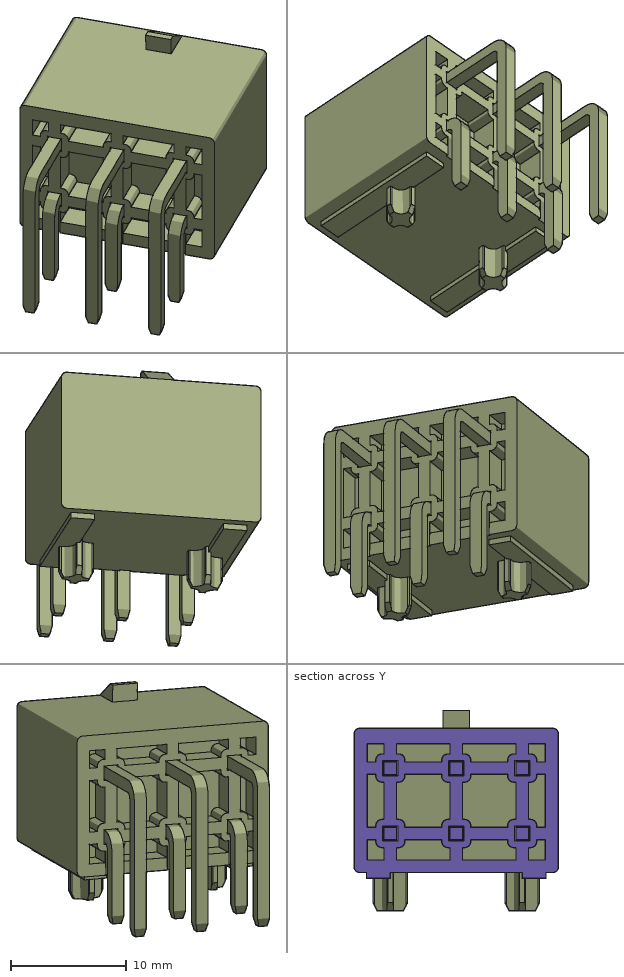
import cadquery as cq
import math


OVERALL_DEPTH = 21.95

HOUSING_WIDTH = 17.75
HOUSING_DEPTH = 14.79
HOUSING_HEIGHT = 12.55
EDGE_RADIUS = 0.5

COLUMN_PITCH = 5.73
ROW_PITCH = 5.68
UPPER_ROW_Z = 9.08
LOWER_ROW_Z = UPPER_ROW_Z - ROW_PITCH
PIN_SIZE = 1.12
PIN_BEND_RADIUS = 1.62
PIN_BOTTOM_Z = -4.04
PIN_TIP_LENGTH = 0.7
PIN_TIP_SIZE = 0.77
UPPER_PIN_REACH = OVERALL_DEPTH - HOUSING_DEPTH
LOWER_PIN_REACH = 1.67
COLUMNS = [-COLUMN_PITCH, 0, COLUMN_PITCH]
ROWS = [LOWER_ROW_Z, UPPER_ROW_Z]

RECESS_WIDTH = 15.45
RECESS_BOTTOM_Z = 1.12
RECESS_TOP_Z = 11.2
RECESS_DEPTH = 2.4
DIVIDER_THICKNESS = 1.1
COLLAR_WIDTH = 2.55
COLLAR_HEIGHT = 2.48
COLLAR_RADIUS = 0.57
PIN_CLEARANCE = 0.09
PIN_HOLE_SIZE = PIN_SIZE + 2 * PIN_CLEARANCE
PIN_ANCHOR = 0.65
RELIEF_WIDTH = 0.99
RELIEF_DEPTH = 0.2

LATCH_WIDTH = 2.3
LATCH_HEIGHT = 1.54
LATCH_BASE = 3.05
LATCH_LENGTH = 3.15
LATCH_FLAT = 0.61

STRIP_OUTER_X = 7.8
STRIP_HEIGHT = 0.5
STRIP_LENGTH = 12.81
STRIP_BACK_GAP = 0.95
PEG_Y = 6.2
PEG_LENGTH = 3.31
PEG_RADIUS = 1.51
RIB_SHOULDER = 1.35
RIB_HALF_WIDTH = 0.275
RIB_TIP_HALF_WIDTH = 0.22
FLUTE_START = 1.15
PEG_CHAMFER_HEIGHT = 0.72

SIDE = "YZ"


def block(x_min, x_max, y_min, y_max, z_min, z_max):
    """Box spanning the given limits."""
    size = (x_max - x_min, y_max - y_min, z_max - z_min)
    return cq.Workplane().box(*size, centered=False).translate((x_min, y_min, z_min))


def bar(x, z, width, height):
    """Bar centred on a pin position, running from the pin face to the recess floor."""
    return block(x - width / 2, x + width / 2, 0, RECESS_DEPTH, z - height / 2, z + height / 2)


def housing_block():
    half = HOUSING_WIDTH / 2
    shell = block(-half, half, 0, HOUSING_DEPTH, 0, HOUSING_HEIGHT)
    return shell.edges("|Y").fillet(EDGE_RADIUS)


def pockets():
    """The recess volume left open between the webs, shelves and collars."""
    half_width = RECESS_WIDTH / 2
    half_divider = DIVIDER_THICKNESS / 2
    space = block(-half_width, half_width, 0, RECESS_DEPTH, RECESS_BOTTOM_Z, RECESS_TOP_Z)
    for x in COLUMNS:
        web = block(x - half_divider, x + half_divider, 0, RECESS_DEPTH, RECESS_BOTTOM_Z, RECESS_TOP_Z)
        space = space.cut(web)
    for z in ROWS:
        shelf = block(-half_width, half_width, 0, RECESS_DEPTH, z - half_divider, z + half_divider)
        space = space.cut(shelf)
        for x in COLUMNS:
            collar = bar(x, z, COLLAR_WIDTH, COLLAR_HEIGHT)
            space = space.cut(collar.edges("|Y").fillet(COLLAR_RADIUS))
    return space


def bend_relief(x):
    """Wedge-shaped groove below a lower pin, deepest at the underside of the housing."""
    top_z = LOWER_ROW_Z - COLLAR_HEIGHT / 2
    profile = [(0, 0), (RELIEF_DEPTH, 0), (0, top_z)]
    wedge = cq.Workplane(SIDE).polyline(profile).close().extrude(RELIEF_WIDTH / 2, both=True)
    return wedge.translate((x, 0, 0))


def latch():
    top = HOUSING_HEIGHT + LATCH_HEIGHT
    tip_y = HOUSING_DEPTH - LATCH_LENGTH
    profile = [
        (HOUSING_DEPTH, HOUSING_HEIGHT),
        (tip_y + LATCH_FLAT, top),
        (tip_y, top),
        (HOUSING_DEPTH - LATCH_BASE, HOUSING_HEIGHT),
    ]
    return cq.Workplane(SIDE).polyline(profile).close().extrude(LATCH_WIDTH / 2, both=True)


def standoff_strip(side):
    """Strip along one side of the underside, from the pin column outwards."""
    x_min, x_max = sorted((side * COLUMN_PITCH, side * STRIP_OUTER_X))
    y_max = HOUSING_DEPTH - STRIP_BACK_GAP
    return block(x_min, x_max, y_max - STRIP_LENGTH, y_max, -STRIP_HEIGHT, 0)


def peg(x):
    """Four-ribbed peg; quarter-round flutes join the ribs, whose tips slope in at the bottom."""
    flute_radius = FLUTE_START - RIB_HALF_WIDTH
    flute_middle = FLUTE_START - flute_radius * math.cos(math.radians(45))
    rib = (
        cq.Workplane()
        .moveTo(0, 0)
        .lineTo(0, -FLUTE_START)
        .lineTo(RIB_HALF_WIDTH, -FLUTE_START)
        .threePointArc((flute_middle, -flute_middle), (FLUTE_START, -RIB_HALF_WIDTH))
        .lineTo(RIB_SHOULDER, -RIB_HALF_WIDTH)
        .lineTo(PEG_RADIUS, -RIB_TIP_HALF_WIDTH)
        .lineTo(PEG_RADIUS, RIB_TIP_HALF_WIDTH)
        .lineTo(RIB_SHOULDER, RIB_HALF_WIDTH)
        .lineTo(0, RIB_HALF_WIDTH)
        .close()
        .extrude(-PEG_LENGTH)
    )
    star = rib
    for quarter in range(1, 4):
        star = star.union(rib.rotate((0, 0, 0), (0, 0, 1), 90 * quarter))
    envelope = block(-PEG_RADIUS, PEG_RADIUS, -PEG_RADIUS, PEG_RADIUS, -PEG_LENGTH, 0)
    envelope = envelope.faces("<Z").chamfer(PEG_CHAMFER_HEIGHT, PEG_RADIUS - FLUTE_START)
    return star.intersect(envelope).translate((x, PEG_Y, 0))


def bent_pin(x, z, reach):
    """Pin from inside the housing, out by `reach`, then down to a tapered tip."""
    half = PIN_SIZE / 2
    tip_z = PIN_BOTTOM_Z + PIN_TIP_LENGTH
    inner_y = PIN_SIZE - reach
    inner_radius = PIN_BEND_RADIUS - PIN_SIZE
    anchor_y = RECESS_DEPTH + PIN_ANCHOR
    wire = (
        cq.Workplane(SIDE)
        .moveTo(anchor_y, z + half)
        .lineTo(PIN_BEND_RADIUS - reach, z + half)
        .radiusArc((-reach, z + half - PIN_BEND_RADIUS), -PIN_BEND_RADIUS)
        .lineTo(-reach, tip_z)
        .lineTo(inner_y, tip_z)
        .lineTo(inner_y, z - half - inner_radius)
        .radiusArc((inner_y + inner_radius, z - half), inner_radius)
        .lineTo(anchor_y, z - half)
        .close()
        .extrude(half, both=True)
    )
    tip = (
        cq.Workplane()
        .rect(PIN_SIZE, PIN_SIZE)
        .workplane(offset=-PIN_TIP_LENGTH)
        .rect(PIN_TIP_SIZE, PIN_TIP_SIZE)
        .loft(combine=True)
        .translate((0, half - reach, tip_z))
    )
    return wire.union(tip).translate((x, 0, 0))


result = housing_block().cut(pockets()).union(latch())

for side in (-1, 1):
    result = result.union(standoff_strip(side))
    result = result.union(peg(side * COLUMN_PITCH))

for x in COLUMNS:
    result = result.cut(bend_relief(x))
    for z, reach in ((UPPER_ROW_Z, UPPER_PIN_REACH), (LOWER_ROW_Z, LOWER_PIN_REACH)):
        result = result.cut(bar(x, z, PIN_HOLE_SIZE, PIN_HOLE_SIZE))
        result = result.union(bent_pin(x, z, reach))